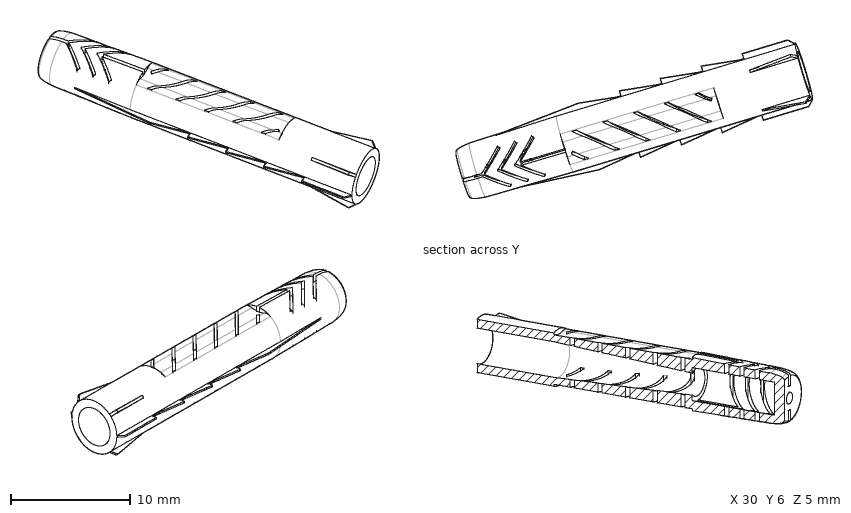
import cadquery as cq
import math

LENGTH = 30.0
BODY_RADIUS = 2.5

END_FACE_RADIUS = 1.95
ROUNDING_LENGTH = 0.2
ROUNDING_RADIUS = 2.17
NOSE_LENGTH = 1.3
NOSE_RADIUS = 2.38
TIP_LENGTH = 9.0

PILOT_DIAMETER = 1.0
END_WALL = 1.0
TIP_BORE_DIAMETER = 3.3
THROAT_DIAMETER = 2.5
HEAD_BORE_DIAMETER = 3.5

TIP_SLOT_WIDTH = 0.3
NOSE_SLOT_FLOOR = 1.05
CHEVRON_COUNT = 3
CHEVRON_PITCH = 1.5
FIRST_CHEVRON_X = 1.74
CHEVRON_ARM_LENGTH = 2.62

SLIT_ANGLE = 41.5
SLIT_WIDTH = 0.25
SLIT_PITCH = 2.7
SLIT_GAPS = 5
RECESS_LENGTH = SLIT_GAPS * SLIT_PITCH
RECESS_END = TIP_LENGTH + RECESS_LENGTH
RECESS_HALF_WIDTH = 1.4
GROOVE_HALF_WIDTH = 0.68
GROOVE_FLOOR = 2.04
GROOVE_EDGE = 2.16
RIDGE_Y = 0.95
RIDGE_TOP = 2.21
SLIT_HALF_SPAN = 1.32
END_SLIT_OFFSET = 0.65

FIN_RADIUS = 3.0
FIN_CHAMFER = FIN_RADIUS - BODY_RADIUS
FIN_ROOT_RADIUS = 2.0
SIDE_FIN_THICKNESS = 0.15
SIDE_FIN_START = 3.6
SIDE_FIN_START_RADIUS = 2.41
BARB_START = 11.1
BARB_COUNT = 4
HEAD_FIN_START = 25.5
BARB_PITCH = (HEAD_FIN_START - BARB_START) / BARB_COUNT
DIAGONAL_FIN_THICKNESS = 0.25
DIAGONAL_FIN_START = 25.8
DIAGONAL_FIN_ANGLES = (45, 135, 225, 315)
SIDE_FIN_ANGLES = (0, 180)

CUT_HEIGHT = 4 * BODY_RADIUS


def make_body():
    """Solid of revolution: rounded tip, taper and straight sleeve."""
    return (
        cq.Workplane("XY")
        .moveTo(0, 0)
        .lineTo(LENGTH, 0)
        .lineTo(LENGTH, BODY_RADIUS)
        .lineTo(TIP_LENGTH, BODY_RADIUS)
        .lineTo(NOSE_LENGTH, NOSE_RADIUS)
        .tangentArcPoint((ROUNDING_LENGTH, ROUNDING_RADIUS), relative=False)
        .tangentArcPoint((0, END_FACE_RADIUS), relative=False)
        .close()
        .revolve(360, (0, 0, 0), (1, 0, 0))
    )


def make_bore():
    """Pilot hole, tip chamber, tapered screw channel and head bore."""
    return (
        cq.Workplane("XY")
        .moveTo(0, 0)
        .lineTo(0, PILOT_DIAMETER / 2)
        .lineTo(END_WALL, PILOT_DIAMETER / 2)
        .lineTo(END_WALL, TIP_BORE_DIAMETER / 2)
        .lineTo(TIP_LENGTH, TIP_BORE_DIAMETER / 2)
        .lineTo(TIP_LENGTH, THROAT_DIAMETER / 2)
        .lineTo(RECESS_END, HEAD_BORE_DIAMETER / 2)
        .lineTo(LENGTH, HEAD_BORE_DIAMETER / 2)
        .lineTo(LENGTH, 0)
        .close()
        .revolve(360, (0, 0, 0), (1, 0, 0))
    )


def make_recess():
    """Material above the wavy grip floor: a central groove between two rounded ridges."""
    edge_height = math.sqrt(BODY_RADIUS**2 - RECESS_HALF_WIDTH**2)
    return (
        cq.Workplane("YZ", origin=(TIP_LENGTH, 0, 0))
        .moveTo(-RECESS_HALF_WIDTH, edge_height)
        .threePointArc((-RIDGE_Y, RIDGE_TOP), (-GROOVE_HALF_WIDTH, GROOVE_EDGE))
        .threePointArc((0, GROOVE_FLOOR), (GROOVE_HALF_WIDTH, GROOVE_EDGE))
        .threePointArc((RIDGE_Y, RIDGE_TOP), (RECESS_HALF_WIDTH, edge_height))
        .lineTo(RECESS_HALF_WIDTH, FIN_RADIUS)
        .lineTo(-RECESS_HALF_WIDTH, FIN_RADIUS)
        .close()
        .extrude(RECESS_LENGTH)
    )


def make_slit(center_x, start, end):
    """Slanted slit between two distances measured along it from where it crosses y = 0."""
    slit = cq.Workplane("XY").box(end - start, SLIT_WIDTH, CUT_HEIGHT)
    slit = slit.translate(((start + end) / 2, 0, 0))
    return slit.rotate((0, 0, 0), (0, 0, 1), SLIT_ANGLE).translate((center_x, 0, 0))


def make_slits():
    """Evenly spaced slits; the first and last are halves, so they stay clear of the recess ends."""
    reach = RECESS_HALF_WIDTH / math.sin(math.radians(SLIT_ANGLE))
    slits = make_slit(TIP_LENGTH, END_SLIT_OFFSET, reach)
    for index in range(1, SLIT_GAPS):
        slits = slits.union(make_slit(TIP_LENGTH + index * SLIT_PITCH, -reach, reach))
    slits = slits.union(make_slit(RECESS_END, -reach, -END_SLIT_OFFSET))

    side_limits = cq.Workplane("XY").box(LENGTH, 2 * SLIT_HALF_SPAN, CUT_HEIGHT)
    return slits.intersect(side_limits.translate((LENGTH / 2, 0, 0)))


def make_chevron(apex_x):
    """V-shaped through slot whose arms open toward the head."""
    half_width = SLIT_WIDTH / 2
    angle = math.radians(SLIT_ANGLE)
    apex_offset = half_width / math.sin(angle)
    arm_end_x = apex_x + CHEVRON_ARM_LENGTH * math.cos(angle)
    arm_end_y = CHEVRON_ARM_LENGTH * math.sin(angle)
    corner_dx = half_width * math.sin(angle)
    corner_dy = half_width * math.cos(angle)
    outer_corner = (arm_end_x - corner_dx, arm_end_y + corner_dy)
    inner_corner = (arm_end_x + corner_dx, arm_end_y - corner_dy)
    return (
        cq.Workplane("XY")
        .moveTo(apex_x - apex_offset, 0)
        .lineTo(*outer_corner)
        .lineTo(*inner_corner)
        .lineTo(apex_x + apex_offset, 0)
        .lineTo(inner_corner[0], -inner_corner[1])
        .lineTo(outer_corner[0], -outer_corner[1])
        .close()
        .extrude(CUT_HEIGHT / 2, both=True)
    )


def make_nose_slot(side):
    """Straight slot from the end face to the first chevron, on the top (+1) or bottom (-1)."""
    depth = FIN_RADIUS - NOSE_SLOT_FLOOR
    return (
        cq.Workplane("XY")
        .box(FIRST_CHEVRON_X, TIP_SLOT_WIDTH, depth)
        .translate((FIRST_CHEVRON_X / 2, 0, side * (NOSE_SLOT_FLOOR + depth / 2)))
    )


def make_rear_slot():
    """Through slot from the last chevron to the recesses."""
    start = FIRST_CHEVRON_X + (CHEVRON_COUNT - 1) * CHEVRON_PITCH
    length = TIP_LENGTH - start
    slot = cq.Workplane("XY").box(length, TIP_SLOT_WIDTH, CUT_HEIGHT)
    return slot.translate((start + length / 2, 0, 0))


def make_fin(crest, thickness, angle):
    """Flat radial fin with the given crest line of (x, radius) points, turned about X."""
    outline = [(crest[0][0], FIN_ROOT_RADIUS)] + crest + [(LENGTH, FIN_ROOT_RADIUS)]
    fin = cq.Workplane("XY").polyline(outline).close().extrude(thickness / 2, both=True)
    return fin.rotate((0, 0, 0), (1, 0, 0), angle)


def make_fins():
    """Two barbed side fins and four short diagonal fins at the head."""
    head_end = [(LENGTH - FIN_CHAMFER, FIN_RADIUS), (LENGTH, BODY_RADIUS)]
    side_crest = [(SIDE_FIN_START, SIDE_FIN_START_RADIUS), (BARB_START, FIN_RADIUS)]
    for index in range(1, BARB_COUNT + 1):
        barb_x = BARB_START + index * BARB_PITCH
        side_crest += [(barb_x, BODY_RADIUS), (barb_x, FIN_RADIUS)]
    side_crest += head_end
    diagonal_crest = [(DIAGONAL_FIN_START, BODY_RADIUS)] + head_end

    fins = [make_fin(side_crest, SIDE_FIN_THICKNESS, angle) for angle in SIDE_FIN_ANGLES]
    fins += [make_fin(diagonal_crest, DIAGONAL_FIN_THICKNESS, angle) for angle in DIAGONAL_FIN_ANGLES]
    return fins


result = make_body()
for fin in make_fins():
    result = result.union(fin)

result = result.cut(make_bore())

upper_recess = make_recess()
result = result.cut(upper_recess).cut(upper_recess.mirror("XY"))
result = result.cut(make_slits())

for index in range(CHEVRON_COUNT):
    result = result.cut(make_chevron(FIRST_CHEVRON_X + index * CHEVRON_PITCH))
result = result.cut(make_nose_slot(1)).cut(make_nose_slot(-1))
result = result.cut(make_rear_slot())